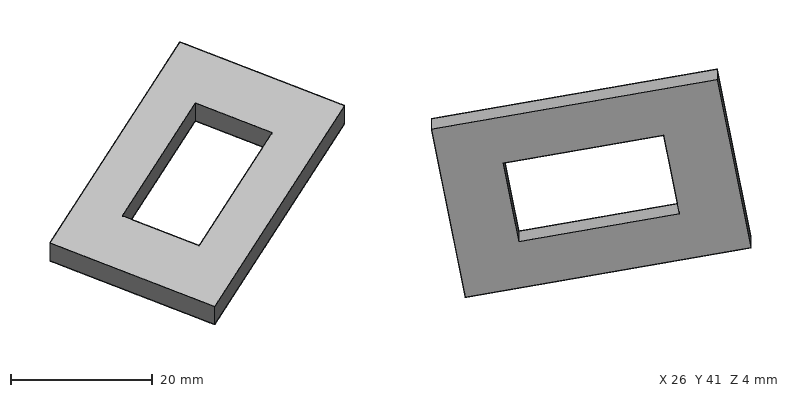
import cadquery as cq

plate_width = 26.0
plate_length = 41.0
plate_thickness = 4.0

window_width = 12.1
window_length = 23.0

plate = cq.Workplane("XY").box(plate_width, plate_length, plate_thickness)
result = plate.faces(">Z").workplane().rect(window_width, window_length).cutThruAll()